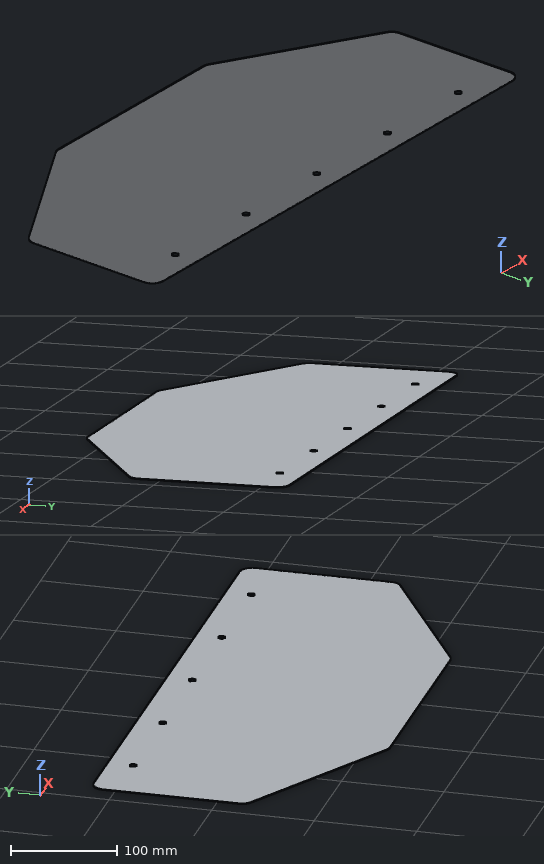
import cadquery as cq
import math

length = 559.0
width = 247.5
thickness = 1.0
front_edge_length = 228.0
taper_angle = 30.0
corner_radius = 13.0

hole_count = 5
hole_spacing = 108.0
hole_diameter = 6.5
hole_edge_distance = 25.0

half_length = length / 2
half_width = width / 2
half_front = front_edge_length / 2
taper_depth = (half_length - half_front) * math.tan(math.radians(taper_angle))
shoulder_y = -half_width + taper_depth


def make_plate():
    """Flat plate tapering to a shorter front edge, with every corner rounded."""
    outline = [
        (-half_length, half_width),
        (half_length, half_width),
        (half_length, shoulder_y),
        (half_front, -half_width),
        (-half_front, -half_width),
        (-half_length, shoulder_y),
    ]
    plate = cq.Workplane("XY").polyline(outline).close().extrude(thickness)
    return plate.edges("|Z").fillet(corner_radius)


def make_hole_row():
    """Evenly spaced through-hole cutters, centred along the length."""
    return (
        cq.Workplane("XY")
        .center(0, half_width - hole_edge_distance)
        .rarray(hole_spacing, 5.5, hole_count, 1)
        .circle(hole_diameter / 2)
        .extrude(thickness)
    )


result = make_plate().cut(make_hole_row())